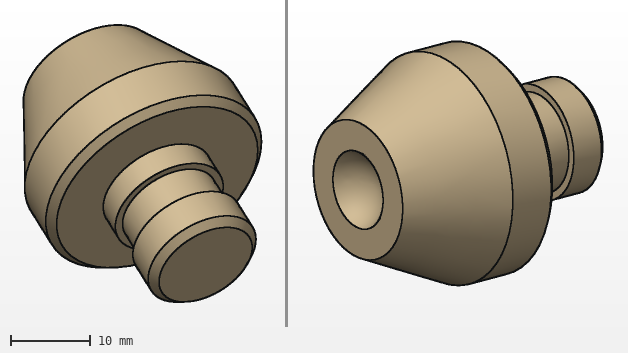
import math

import cadquery as cq

total_length = 34.0
cone_length = 12.85
head_length = 20.0
groove_start = 23.5
groove_end = 28.55

nose_diameter = 18.0
head_diameter = 30.0
shank_diameter = 15.0
groove_diameter = 13.0
dimple_diameter = 10.1

dimple_depth = 3.2
chamfer = 1.02

nose_radius = nose_diameter / 2
head_radius = head_diameter / 2
shank_radius = shank_diameter / 2
groove_radius = groove_diameter / 2
dimple_radius = dimple_diameter / 2

outer_points = [
    (0, nose_radius),
    (cone_length, head_radius),
    (head_length - chamfer, head_radius),
    (head_length, head_radius - chamfer),
    (head_length, shank_radius),
    (groove_start, shank_radius),
    (groove_start, groove_radius),
    (groove_end, groove_radius),
    (groove_end, shank_radius),
    (total_length - chamfer, shank_radius),
    (total_length, shank_radius - chamfer),
    (total_length, 0),
]

sphere_radius = (dimple_radius**2 + dimple_depth**2) / (2 * dimple_depth)
sphere_center_x = dimple_depth - sphere_radius
half_angle = math.asin(dimple_radius / sphere_radius) / 2
arc_midpoint = (
    sphere_center_x + sphere_radius * math.cos(half_angle),
    sphere_radius * math.sin(half_angle),
)
half_profile = (
    cq.Workplane("XY")
    .moveTo(dimple_depth, 0)
    .threePointArc(arc_midpoint, (0, dimple_radius))
)
for point in outer_points:
    half_profile = half_profile.lineTo(*point)

result = half_profile.close().revolve(360, (0, 0, 0), (1, 0, 0))